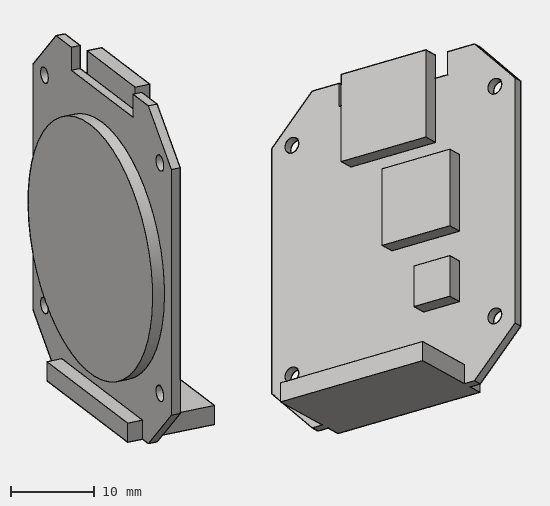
import cadquery as cq

BOARD_WIDTH = 36.0
BOARD_HEIGHT = 44.0
BOARD_THICKNESS = 1.2
CORNER_CUT = 6.0
NOTCH_WIDTH = 16.0
NOTCH_DEPTH = 3.0

HOLE_DIAMETER = 2.0
HOLE_SPACING = 30.0
HOLE_CENTER_Z = 22.7

DISC_DIAMETER = 32.4
DISC_THICKNESS = 1.6
DISC_CENTER_Z = 21.1

BAR_WIDTH = 21.0
BAR_HEIGHT = 2.5
BAR_DEPTH = 11.7
BAR_FRONT_OVERHANG = 2.0

BLOCK_THICKNESS = 2.0
CONNECTOR_WIDTH = 12.5
CONNECTOR_HEIGHT = 11.4
CHIP_LEFT_X = -9.8
LARGE_CHIP_SIZE = 10.0
LARGE_CHIP_BOTTOM_Z = 20.1
SMALL_CHIP_SIZE = 5.3
SMALL_CHIP_BOTTOM_Z = 10.9


def box_from(x, y, z, width, depth, height):
    """Box with its lowest X, Y, Z corner at the given point."""
    return cq.Workplane("XY").box(width, depth, height, centered=False).translate((x, y, z))


def cylinder_along_y(x, y, z, diameter, length):
    """Cylinder starting at the given point and running toward +Y."""
    axis = cq.Vector(0, 1, 0)
    return cq.Workplane(cq.Solid.makeCylinder(diameter / 2, length, cq.Vector(x, y, z), axis))


def make_board():
    """Plate with four cut corners, a notch in the top edge and four mounting holes."""
    board = box_from(-BOARD_WIDTH / 2, 0, 0, BOARD_WIDTH, BOARD_THICKNESS, BOARD_HEIGHT)
    board = board.edges("|Y").chamfer(CORNER_CUT)
    notch_bottom = BOARD_HEIGHT - NOTCH_DEPTH
    board = board.cut(box_from(-NOTCH_WIDTH / 2, 0, notch_bottom, NOTCH_WIDTH, BOARD_THICKNESS, NOTCH_DEPTH))
    for side_x in (-1, 1):
        for side_z in (-1, 1):
            hole_x = side_x * HOLE_SPACING / 2
            hole_z = HOLE_CENTER_Z + side_z * HOLE_SPACING / 2
            board = board.cut(cylinder_along_y(hole_x, 0, hole_z, HOLE_DIAMETER, BOARD_THICKNESS))
    return board


def make_disc():
    """Flat disc standing proud of the front face."""
    return cylinder_along_y(0, -DISC_THICKNESS, DISC_CENTER_Z, DISC_DIAMETER, DISC_THICKNESS)


def make_bottom_bar():
    """Bar flush with the bottom edge, reaching in front of and behind the board."""
    return box_from(-BAR_WIDTH / 2, -BAR_FRONT_OVERHANG, 0, BAR_WIDTH, BAR_DEPTH, BAR_HEIGHT)


def make_back_block(left_x, bottom_z, width, height):
    """Rectangular block seated on the back face."""
    return box_from(left_x, BOARD_THICKNESS, bottom_z, width, BLOCK_THICKNESS, height)


connector = make_back_block(
    -CONNECTOR_WIDTH / 2, BOARD_HEIGHT - CONNECTOR_HEIGHT, CONNECTOR_WIDTH, CONNECTOR_HEIGHT
)
large_chip = make_back_block(CHIP_LEFT_X, LARGE_CHIP_BOTTOM_Z, LARGE_CHIP_SIZE, LARGE_CHIP_SIZE)
small_chip = make_back_block(CHIP_LEFT_X, SMALL_CHIP_BOTTOM_Z, SMALL_CHIP_SIZE, SMALL_CHIP_SIZE)

result = make_board()
for feature in (make_disc(), make_bottom_bar(), connector, large_chip, small_chip):
    result = result.union(feature)